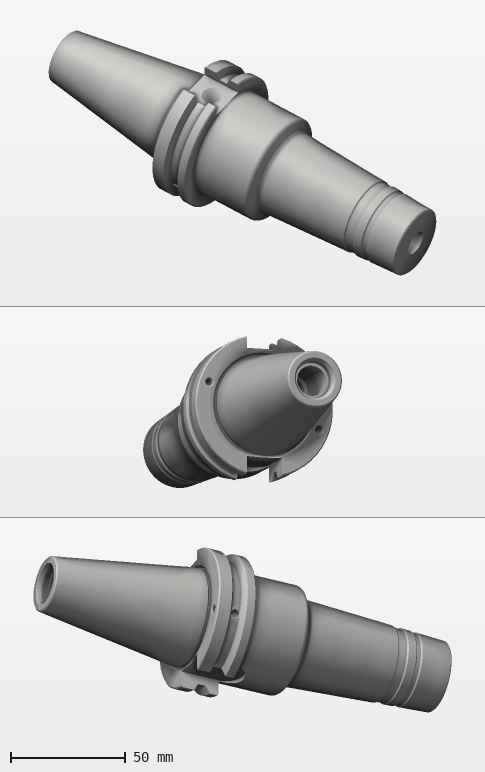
import cadquery as cq
import math

length = 188.2
full_turn = 360
drill_half_angle = 60

taper_end_radius = 12.5
taper_length = 68.1
taper_slope = 7 / 48
taper_big_radius = taper_end_radius + taper_slope * taper_length
relief_radius = 43.9 / 2
relief_start = 68.7
edge_chamfer = 0.5

recess_depth = 1.0
recess_mouth_radius = 23.5
recess_floor_radius = 22.8

flange_start = 69.3
flange_end = 87.2
flange_radius = 31.6
flange_chamfer = 0.5
groove_bottom_radius = 56.7 / 2
groove_bottom_start = 77.4
groove_bottom_end = 81.1
groove_center = (groove_bottom_start + groove_bottom_end) / 2
groove_flare = 1.9

body_radius = 49.5 / 2
body_end = 115.2
body_root_fillet = 1.0
shoulder_fillet = 2.0
shoulder_angle = 60

nose_end_radius = 16.0
nose_slope = math.tan(math.radians(3))
nose_groove_depth = 0.5
nose_grooves = [(161.9, 167.0), (170.7, 173.8)]

bore_radius = 11.0 / 2
step_radius = 13.4 / 2
counterbore_radius = 16.4 / 2
counterbore_depth = 4.9
step_end = 30.1
mouth_radius = 9.5
mouth_depth = 2.0

keyway_width = 16.2
upper_floor = 25.2
lower_floor = 22.8
dimple_radius = 9.6 / 2

coolant_angle = 20
coolant_circle_radius = 27.0
coolant_radius = 3.2 / 2
axial_mouth_radius = 4.1 / 2
axial_depth = groove_center + coolant_radius - flange_start
radial_mouth_radius = 4.0 / 2
radial_depth = groove_bottom_radius - coolant_circle_radius + coolant_radius


def nose_radius(x):
    return nose_end_radius + nose_slope * (length - x)


def revolve_about_axis(points):
    return cq.Workplane("XY").polyline(points).close().revolve(full_turn, (0, 0, 0), (1, 0, 0))


def fillet_ring(solid, x, radius, fillet_radius):
    slack = 0.2
    reach = radius + slack
    box = cq.selectors.BoxSelector((x - slack, -reach, -reach), (x + slack, reach, reach), boundingbox=True)
    return solid.edges(box).fillet(fillet_radius)


def make_turned_blank():
    shoulder_slope = math.tan(math.radians(shoulder_angle))
    shoulder_run = (body_radius - nose_radius(body_end)) / (shoulder_slope - nose_slope)
    nose_start = body_end + shoulder_run
    points = [
        (0, 0),
        (0, taper_end_radius - edge_chamfer),
        (edge_chamfer, taper_end_radius + taper_slope * edge_chamfer),
        (taper_length, taper_big_radius),
        (relief_start, relief_radius),
        (flange_start + recess_depth, relief_radius),
        (flange_start + recess_depth, recess_floor_radius),
        (flange_start, recess_mouth_radius),
        (flange_start, flange_radius - flange_chamfer),
        (flange_start + flange_chamfer, flange_radius),
        (groove_bottom_start - groove_flare, flange_radius),
        (groove_bottom_start, groove_bottom_radius),
        (groove_bottom_end, groove_bottom_radius),
        (groove_bottom_end + groove_flare, flange_radius),
        (flange_end - flange_chamfer, flange_radius),
        (flange_end, flange_radius - flange_chamfer),
        (flange_end, body_radius),
        (body_end, body_radius),
        (nose_start, nose_radius(nose_start)),
    ]
    for start, end in nose_grooves:
        points += [
            (start, nose_radius(start)),
            (start + nose_groove_depth, nose_radius(start) - nose_groove_depth),
            (end - nose_groove_depth, nose_radius(end) - nose_groove_depth),
            (end, nose_radius(end)),
        ]
    points += [
        (length - edge_chamfer, nose_radius(length - edge_chamfer)),
        (length, nose_end_radius - edge_chamfer),
        (length, 0),
    ]
    blank = revolve_about_axis(points)
    blank = fillet_ring(blank, body_end, body_radius, shoulder_fillet)
    blank = fillet_ring(blank, nose_start, nose_radius(nose_start), shoulder_fillet)
    return fillet_ring(blank, flange_end, body_radius, body_root_fillet)


def make_bore():
    step_cone_length = step_radius - bore_radius
    points = [
        (0, 0),
        (0, mouth_radius),
        (mouth_depth, counterbore_radius),
        (counterbore_depth, counterbore_radius),
        (counterbore_depth, step_radius),
        (step_end, step_radius),
        (step_end + step_cone_length, bore_radius),
        (length, bore_radius),
        (length, 0),
    ]
    return revolve_about_axis(points)


def make_keyway(floor):
    slot_start = relief_start
    height = math.copysign(flange_radius, floor) - floor
    radius = keyway_width / 2
    return (
        cq.Workplane("XY", origin=(0, 0, floor))
        .moveTo(slot_start, -radius)
        .lineTo(flange_end, -radius)
        .threePointArc((flange_end + radius, 0), (flange_end, radius))
        .lineTo(slot_start, radius)
        .close()
        .extrude(height)
    )


def make_dimple():
    depth = dimple_radius / math.tan(math.radians(drill_half_angle))
    dimple = cq.Solid.makeCone(
        dimple_radius, 0, depth, cq.Vector(groove_center, 0, upper_floor), cq.Vector(0, 0, -1)
    )
    return cq.Workplane(dimple)


def make_coolant_hole(mouth_radius, depth):
    sink_depth = mouth_radius - coolant_radius
    points = [
        (0, 0),
        (0, mouth_radius),
        (sink_depth, coolant_radius),
        (depth, coolant_radius),
        (depth + coolant_radius / math.tan(math.radians(drill_half_angle)), 0),
    ]
    return revolve_about_axis(points)


def make_coolant_holes():
    axial = make_coolant_hole(axial_mouth_radius, axial_depth)
    axial = axial.translate((flange_start, coolant_circle_radius, 0))
    radial = make_coolant_hole(radial_mouth_radius, radial_depth)
    radial = radial.rotate((0, 0, 0), (0, 0, 1), -90)
    radial = radial.translate((groove_center, groove_bottom_radius, 0))
    pair = axial.union(radial)
    first = pair.rotate((0, 0, 0), (1, 0, 0), coolant_angle)
    second = pair.rotate((0, 0, 0), (1, 0, 0), coolant_angle + 180)
    return first.union(second)


cutters = [
    make_bore(),
    make_keyway(upper_floor),
    make_keyway(-lower_floor),
    make_dimple(),
    make_coolant_holes(),
]
result = make_turned_blank()
for cutter in cutters:
    result = result.cut(cutter)